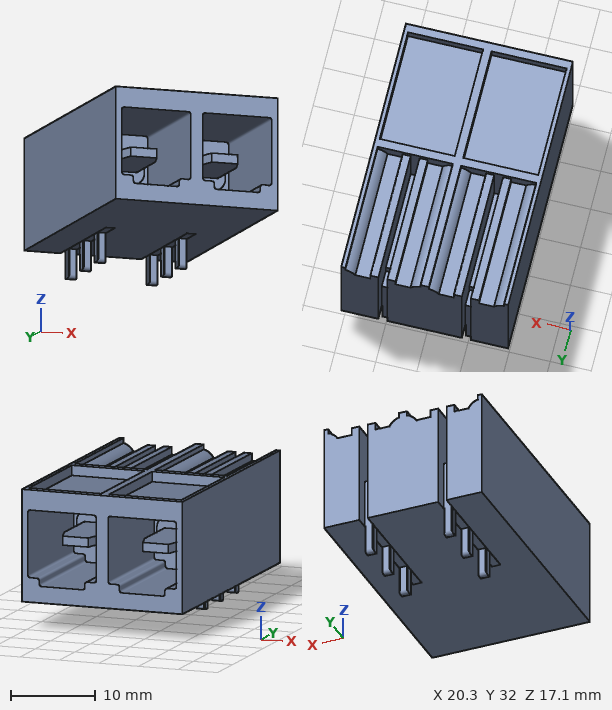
import cadquery as cq

POLE_COUNT = 2
HOUSING_WIDTH = 20.32
HOUSING_LENGTH = 32.0
HOUSING_HEIGHT = 13.57
POLE_PITCH = HOUSING_WIDTH / POLE_COUNT
POLE_CENTRES = [(i - (POLE_COUNT - 1) / 2) * POLE_PITCH for i in range(POLE_COUNT)]

SIDE_WALL = 0.5
CELL_WIDTH = POLE_PITCH - 2 * SIDE_WALL
CROSS_WALL = 1.02
REAR_CELL_LENGTH = 15.95
REAR_CELL_FRONT = HOUSING_LENGTH - REAR_CELL_LENGTH
TOP_POCKET_DEPTH = 1.2

RIB_DROP = 0.6
RIB_WIDTH = 1.0
CHANNEL_DEPTH = 1.55
SHOULDER_WIDTH = 1.2
SHOULDER_RADIUS = 1.92

OPENING_WIDTH = 8.65
OPENING_TOP = HOUSING_HEIGHT - 2.43
OPENING_LEDGE = HOUSING_HEIGHT - 10.6
OPENING_BOTTOM = HOUSING_HEIGHT - 11.55
KEYWAY_WIDTH = 5.75
OPENING_DEPTH = REAR_CELL_FRONT - CROSS_WALL
OPENING_FILLET = 0.32

OVAL_WIDTH = 6.43
OVAL_HEIGHT = 4.1
OVAL_RADIUS = 1.5
OVAL_LENGTH = 1.92

SHEET = 1.1
BLADE_WIDTH = 4.48
BLADE_TIP_CHAMFER_WIDTH = 0.6
BLADE_TIP_CHAMFER_LENGTH = 2.2
BLADE_CENTRE_Z = HOUSING_HEIGHT / 2
BLADE_TIP_Y = 4.4
PLATE_REAR_GAP = 1.65
PLATE_REAR = HOUSING_LENGTH - PLATE_REAR_GAP
PLATE_TOP = BLADE_CENTRE_Z + SHEET / 2
PLATE_STEP_LENGTH = 2.0
PLATE_STEP_DROP = SHEET
TAIL_COUNT = 3
TAIL_SPACING = 5.05
TAIL_DEPTH = 1.2
TAIL_LENGTH = 3.52
TAIL_EDGE_CHAMFER = 0.13
TAIL_TIP_FILLET = 0.45


def box(x_centre, width, y_front, y_rear, z_bottom, z_top):
    """Box centred on x_centre, between the given Y and Z limits."""
    return (
        cq.Workplane("XY")
        .box(width, y_rear - y_front, z_top - z_bottom, centered=(True, False, False))
        .translate((x_centre, y_front, z_bottom))
    )


def top_pocket(x_centre):
    """Shallow rectangular pocket in the front half of the top face."""
    return box(
        x_centre, CELL_WIDTH,
        CROSS_WALL, REAR_CELL_FRONT - CROSS_WALL,
        HOUSING_HEIGHT - TOP_POCKET_DEPTH, HOUSING_HEIGHT,
    )


def rear_cell(x_centre):
    """Ribbed cell that runs out through the rear face."""
    half_cell = CELL_WIDTH / 2
    half_ribs = SHEET / 2 + RIB_WIDTH
    shoulder_foot = half_cell - SHOULDER_WIDTH
    rib_top = HOUSING_HEIGHT - RIB_DROP
    floor = HOUSING_HEIGHT - CHANNEL_DEPTH
    profile = (
        cq.Workplane("XZ", origin=(x_centre, HOUSING_LENGTH, 0))
        .moveTo(-half_cell, HOUSING_HEIGHT)
        .lineTo(-half_cell, rib_top)
        .radiusArc((-shoulder_foot, floor), SHOULDER_RADIUS)
        .lineTo(-half_ribs, floor)
        .lineTo(-half_ribs, rib_top)
        .lineTo(half_ribs, rib_top)
        .lineTo(half_ribs, floor)
        .lineTo(shoulder_foot, floor)
        .radiusArc((half_cell, rib_top), SHOULDER_RADIUS)
        .lineTo(half_cell, HOUSING_HEIGHT)
        .close()
    )
    return profile.extrude(REAR_CELL_LENGTH)


def plug_opening(x_centre):
    """Front opening with a keyway along its floor; its lengthwise edges are rounded."""
    upper = box(x_centre, OPENING_WIDTH, 0, OPENING_DEPTH, OPENING_LEDGE, OPENING_TOP)
    keyway = box(x_centre, KEYWAY_WIDTH, 0, OPENING_DEPTH, OPENING_BOTTOM, OPENING_TOP)
    return upper.union(keyway).clean().edges("|Y").fillet(OPENING_FILLET)


def oval_boss(x_centre):
    """Rounded boss on the end wall of the plug opening, around the root of the contact blade."""
    return box(
        x_centre, OVAL_WIDTH,
        OPENING_DEPTH - OVAL_LENGTH, OPENING_DEPTH,
        BLADE_CENTRE_Z - OVAL_HEIGHT / 2, BLADE_CENTRE_Z + OVAL_HEIGHT / 2,
    ).edges("|Y").fillet(OVAL_RADIUS)


def blade_hole(x_centre):
    """Hole through the boss and the end wall in which the contact blade is held."""
    return box(
        x_centre, BLADE_WIDTH,
        OPENING_DEPTH - OVAL_LENGTH, REAR_CELL_FRONT,
        BLADE_CENTRE_Z - SHEET / 2, BLADE_CENTRE_Z + SHEET / 2,
    )


def contact_slot(x_centre):
    """Full-height slot, open at the rear, that takes the contact plate."""
    return box(x_centre, SHEET, REAR_CELL_FRONT, HOUSING_LENGTH, 0, HOUSING_HEIGHT)


def make_housing():
    housing = box(0, HOUSING_WIDTH, 0, HOUSING_LENGTH, 0, HOUSING_HEIGHT)
    for x_centre in POLE_CENTRES:
        housing = housing.cut(top_pocket(x_centre)).cut(rear_cell(x_centre))
        housing = housing.cut(plug_opening(x_centre)).union(oval_boss(x_centre))
        housing = housing.cut(blade_hole(x_centre)).cut(contact_slot(x_centre))
    return housing


def contact_blade(x_centre):
    """Horizontal blade with its two tip corners chamfered."""
    return box(
        x_centre, BLADE_WIDTH,
        BLADE_TIP_Y, REAR_CELL_FRONT,
        BLADE_CENTRE_Z - SHEET / 2, BLADE_CENTRE_Z + SHEET / 2,
    ).faces("<Y").edges("|Z").chamfer(BLADE_TIP_CHAMFER_LENGTH, BLADE_TIP_CHAMFER_WIDTH)


def contact_plate(x_centre):
    """Upright plate with a lower step at its rear end."""
    plate = box(x_centre, SHEET, REAR_CELL_FRONT, PLATE_REAR, 0, PLATE_TOP)
    step = box(
        x_centre, SHEET,
        PLATE_REAR - PLATE_STEP_LENGTH, PLATE_REAR,
        PLATE_TOP - PLATE_STEP_DROP, PLATE_TOP,
    )
    return plate.cut(step)


def solder_tail(x_centre, y_rear):
    """Tail below the housing, with chamfered long edges and a rounded tip."""
    tail = box(x_centre, SHEET, y_rear - TAIL_DEPTH, y_rear, -TAIL_LENGTH, 0)
    bevelled = tail.edges("|Z").chamfer(TAIL_EDGE_CHAMFER)
    rounded = tail.faces("<Z").edges("|X").fillet(TAIL_TIP_FILLET)
    return bevelled.intersect(rounded)


def make_contact(x_centre):
    contact = contact_plate(x_centre).union(contact_blade(x_centre))
    for i in range(TAIL_COUNT):
        contact = contact.union(solder_tail(x_centre, PLATE_REAR - i * TAIL_SPACING))
    return contact


housing = make_housing()
contacts = [make_contact(x_centre) for x_centre in POLE_CENTRES]

result = cq.Compound.makeCompound([housing.val(), *[contact.val() for contact in contacts]])